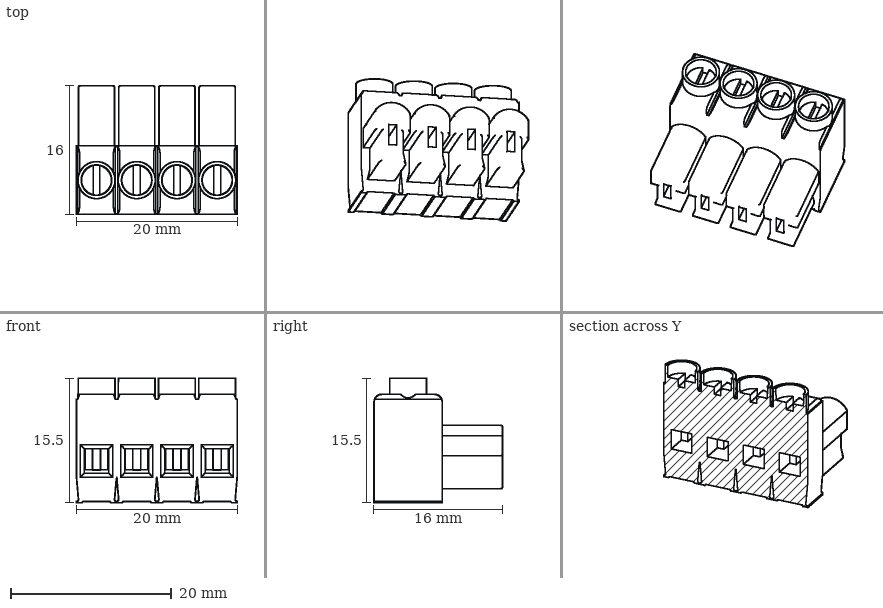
import cadquery as cq
POLES = 4
PITCH = 5.0
WIDTH = POLES * PITCH
CENTRE = PITCH / 2

BODY_DEPTH = 8.5
BODY_HEIGHT = 13.5
TOP_FILLET = 1.0
GROOVE_DEPTH = 0.6
GROOVE_TOP_HALF = 0.4
GROOVE_FLOOR_HALF = 0.15

SLOT_APEX_Z = 3.2
SLOT_END_RADIUS = 0.25
SLOT_END_Z = 0.42
FOOT_HEIGHT = 0.15
FOOT_TOP_HALF = 0.85
FOOT_BASE_HALF = 0.68

COLLAR_DIAMETER = 4.6
COLLAR_TOP = 15.5
COLLAR_Y = BODY_DEPTH / 2
COLLAR_BASE = BODY_HEIGHT - GROOVE_DEPTH
RECESS_DIAMETER = 3.8
HEAD_DIAMETER = 3.72
RECESS_DEPTH = 1.6
DRIVER_SLOT_WIDTH = 0.85
DRIVER_SLOT_DEPTH = 1.0

FUNNEL_MOUTH = 4.0
FUNNEL_THROAT = 3.0
FUNNEL_DEPTH = 1.5
FUNNEL_Z = 5.2
CAVITY_WIDTH = 2.8
CAVITY_END_Y = 7.0
CAVITY_FLOOR = 4.1
CAVITY_TOP = FUNNEL_Z + FUNNEL_THROAT / 2
PIN_SLOT_WIDTH = 0.98

PLUG_LENGTH = 7.5
PLUG_END_Y = BODY_DEPTH + PLUG_LENGTH
PLUG_HALF = 2.25
PLUG_TOP = 9.65
PLUG_SHOULDER = 8.35
PLUG_STEP = 5.85
PLUG_WAIST = 3.1
PLUG_BOTTOM = 1.75
WAIST_HALF = 1.4
BASE_HALF = 1.72
PLUG_FILLET = 0.28


def box(x_centre, width, y_start, y_end, z_start, z_end):
    """Box centred on x_centre, between the given Y and Z limits."""
    size = (width, y_end - y_start, z_end - z_start)
    return cq.Workplane("XY").box(*size, centered=(True, False, False)).translate((x_centre, y_start, z_start))


def through_body(sketch):
    """Extrude an XZ outline through the full housing depth."""
    return sketch.extrude(-BODY_DEPTH)


def housing_block():
    block = cq.Workplane("XY").box(WIDTH, BODY_DEPTH, BODY_HEIGHT, centered=False)
    return block.edges("|X and >Z").fillet(TOP_FILLET)


def top_groove(x):
    """V-shaped groove with a narrow flat floor."""
    return through_body(
        cq.Workplane("XZ")
        .moveTo(x - GROOVE_TOP_HALF, BODY_HEIGHT)
        .lineTo(x - GROOVE_FLOOR_HALF, BODY_HEIGHT - GROOVE_DEPTH)
        .lineTo(x + GROOVE_FLOOR_HALF, BODY_HEIGHT - GROOVE_DEPTH)
        .lineTo(x + GROOVE_TOP_HALF, BODY_HEIGHT)
        .close()
    )


def relief_slot(x):
    """Narrow wedge that opens downward and closes in a half-round end."""
    return through_body(
        cq.Workplane("XZ")
        .moveTo(x, SLOT_APEX_Z)
        .lineTo(x - SLOT_END_RADIUS, SLOT_END_Z)
        .threePointArc((x, SLOT_END_Z - SLOT_END_RADIUS), (x + SLOT_END_RADIUS, SLOT_END_Z))
        .close()
    )


def foot_relief(x):
    """Shallow recess in the underside that leaves feet at the pole boundaries."""
    return through_body(
        cq.Workplane("XZ")
        .moveTo(x - CENTRE + FOOT_BASE_HALF, 0)
        .lineTo(x - CENTRE + FOOT_TOP_HALF, FOOT_HEIGHT)
        .lineTo(x + CENTRE - FOOT_TOP_HALF, FOOT_HEIGHT)
        .lineTo(x + CENTRE - FOOT_BASE_HALF, 0)
        .close()
    )


def collar(x):
    return (
        cq.Workplane("XY", origin=(x, COLLAR_Y, COLLAR_BASE))
        .circle(COLLAR_DIAMETER / 2)
        .extrude(COLLAR_TOP - COLLAR_BASE)
    )


def screw_recess(x):
    """Slightly tapered recess down to the screw head, with the driver slot across the head."""
    head_z = COLLAR_TOP - RECESS_DEPTH
    recess = (
        cq.Workplane("XY", origin=(x, COLLAR_Y, COLLAR_TOP))
        .circle(RECESS_DIAMETER / 2)
        .workplane(offset=-RECESS_DEPTH)
        .circle(HEAD_DIAMETER / 2)
        .loft(ruled=True)
    )
    head = (
        cq.Workplane("XY", origin=(x, COLLAR_Y, head_z - DRIVER_SLOT_DEPTH))
        .circle(HEAD_DIAMETER / 2)
        .extrude(DRIVER_SLOT_DEPTH)
    )
    slot = box(x, DRIVER_SLOT_WIDTH, 0, BODY_DEPTH, head_z - DRIVER_SLOT_DEPTH, head_z)
    return recess.union(head.intersect(slot))


def wire_entry(x):
    """Square funnel, clamp cavity with a raised floor, and pin slot out through the plug."""
    funnel = (
        cq.Workplane("XZ", origin=(x, 0, FUNNEL_Z))
        .rect(FUNNEL_MOUTH, FUNNEL_MOUTH)
        .workplane(offset=-FUNNEL_DEPTH)
        .rect(FUNNEL_THROAT, FUNNEL_THROAT)
        .loft(ruled=True)
    )
    cavity = box(x, CAVITY_WIDTH, FUNNEL_DEPTH, CAVITY_END_Y, CAVITY_FLOOR, CAVITY_TOP)
    pin_slot = box(x, PIN_SLOT_WIDTH, CAVITY_END_Y, PLUG_END_Y, CAVITY_FLOOR, CAVITY_TOP)
    return funnel.union(cavity).union(pin_slot)


def plug(x):
    """Domed plug with a stepped waist and a flared base."""
    outline = (
        cq.Workplane("XZ", origin=(x, BODY_DEPTH, 0))
        .moveTo(-PLUG_HALF, PLUG_SHOULDER)
        .threePointArc((0, PLUG_TOP), (PLUG_HALF, PLUG_SHOULDER))
        .lineTo(PLUG_HALF, PLUG_STEP)
        .lineTo(WAIST_HALF, PLUG_STEP)
        .lineTo(WAIST_HALF, PLUG_WAIST)
        .lineTo(BASE_HALF, PLUG_BOTTOM)
        .lineTo(-BASE_HALF, PLUG_BOTTOM)
        .lineTo(-WAIST_HALF, PLUG_WAIST)
        .lineTo(-WAIST_HALF, PLUG_STEP)
        .lineTo(-PLUG_HALF, PLUG_STEP)
        .close()
    )
    return outline.extrude(-PLUG_LENGTH).faces(">Y").edges().fillet(PLUG_FILLET)


pole_centres = [CENTRE + i * PITCH for i in range(POLES)]
pole_boundaries = [i * PITCH for i in range(POLES + 1)]

result = housing_block()
for x in pole_boundaries:
    result = result.cut(top_groove(x)).cut(relief_slot(x))
for x in pole_centres:
    result = result.cut(foot_relief(x)).union(collar(x)).union(plug(x))
for x in pole_centres:
    result = result.cut(screw_recess(x)).cut(wire_entry(x))